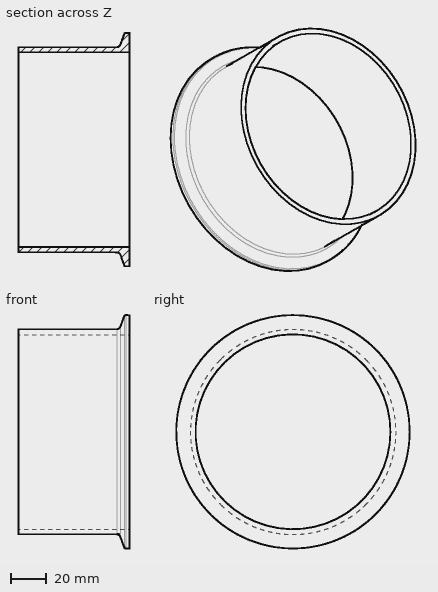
import cadquery as cq
import math

total_length = 62.0
bore_diameter = 108.3
tube_diameter = 114.3
flange_diameter = 130.0
rim_thickness = 2.9
cone_angle = 20.0
root_fillet_radius = 1.9
rim_fillet_radius = 0.8

bore_radius = bore_diameter / 2
tube_radius = tube_diameter / 2
flange_radius = flange_diameter / 2
cone_length = (flange_radius - tube_radius) * math.tan(math.radians(cone_angle))

tube_end_x = -total_length / 2
flange_face_x = total_length / 2
cone_top_x = flange_face_x - rim_thickness
cone_root_x = cone_top_x - cone_length


def flanged_tube():
    """Tube with a conical-backed flange, revolved about X."""
    profile = (
        cq.Workplane("XY")
        .moveTo(tube_end_x, bore_radius)
        .lineTo(tube_end_x, tube_radius)
        .lineTo(cone_root_x, tube_radius)
        .lineTo(cone_top_x, flange_radius)
        .lineTo(flange_face_x, flange_radius)
        .lineTo(flange_face_x, bore_radius)
        .close()
    )
    return profile.revolve(360, (0, 0, 0), (1, 0, 0))


def circular_edge_at(x, radius):
    """Selector for the circular edge of the given radius at the given X."""
    tolerance = 0.01
    return cq.selectors.BoxSelector(
        (x - tolerance, -radius - tolerance, -radius - tolerance),
        (x + tolerance, radius + tolerance, radius + tolerance),
        boundingbox=True,
    )


def round_flange_back(body):
    """Round the cone root and the cone-to-rim corner."""
    body = body.edges(circular_edge_at(cone_root_x, tube_radius)).fillet(root_fillet_radius)
    return body.edges(circular_edge_at(cone_top_x, flange_radius)).fillet(rim_fillet_radius)


result = round_flange_back(flanged_tube())